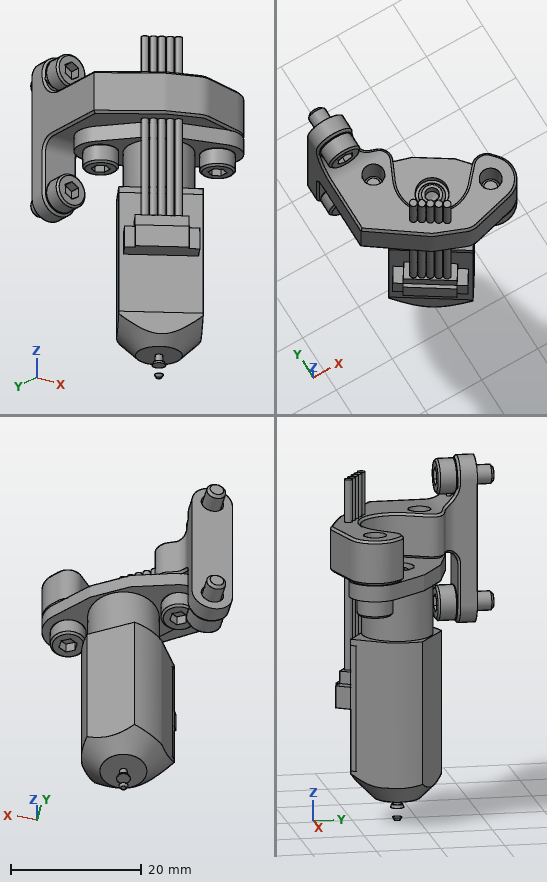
import cadquery as cq
import math

probe_turn = 33.0
tolerance = 0.005

shank_diameter = 3.0
screw_length = 6.0
head_diameter = 5.5
head_height = 3.0
head_chamfer = 0.3
head_base_chamfer = 0.15
tip_chamfer = 0.45
socket_across_corners = 2.9
socket_depth = 1.75
clearance_diameter = 3.5
left_screw_shift = (-0.1, -0.2)

hole_pitch = 18.0
lug_radius = 4.05
flange_thickness = 2.5
flange_half_width = 5.85
flank_angle = 16.0

neck_diameter = 11.0
body_top = -10.45
body_bottom = -36.35
body_half_width = 6.5
body_front = -5.05
body_side_end = 0.75
body_back = 5.8
body_back_half_width = 3.85
body_back_bulge = 0.4
nose_radius = 3.6

recess_diameter = 5.2
recess_depth = 1.1
adjuster_diameter = 4.15
adjuster_height = 0.65
adjuster_chamfer = 0.465
adjuster_bore = 2.25
adjuster_bore_depth = 1.65
drill_point_angle = 118.0

pin_diameter = 1.2
pin_length = 1.15
collar_diameter = 2.1
collar_height = 0.5
collar_top_diameter = 1.7
tip_diameter = 1.4
tip_end_diameter = 0.8
tip_height = 0.5
tip_bottom = -40.05

cover_depth = 0.9
cover_top = -11.45
cover_bottom = -31.3
plug_half_width = 4.15
plug_front = -7.85
plug_top = -16.3
shroud_half_width = 5.8
shroud_top = -18.25
shroud_bottom = -21.75
shroud_key_front = -8.45
wire_count = 5
wire_diameter = 1.2
wire_row_length = 5.2
wire_v = -7.05
wire_top = 13.75

arm_thickness = 7.05
edge_chamfer = 0.4
leg_left = -13.9
leg_width = 6.4
leg_back = 13.95
leg_thickness = 3.0
ear_pitch = 20.0
spot_face_diameter = 6.2
height = 54.5
upper_fillet = 4.0
lower_fillet = 2.0
opening_radius = 5.65
opening_flare = 8.5
left_corner_radius = 2.0
right_corner_radius = 2.3
inner_corner_radius = 2.0
front_corner_radius = 3.0
side_corner = (leg_left, -1.95)
middle_corner = (-4.9, -8.4)
front_corner = (0.9, -10.75)

ear_radius = leg_width / 2
leg_right = leg_left + leg_width
leg_front = leg_back - leg_thickness
ear_x = leg_left + ear_radius
upper_ear_z = tip_bottom + height - ear_radius
lower_ear_z = upper_ear_z - ear_pitch
lug_u = hole_pitch / 2
wire_us = [wire_row_length * (i / (wire_count - 1) - 0.5) for i in range(wire_count)]


def turned(u, v):
    """X, Y of a point given across the probe."""
    angle = math.radians(probe_turn)
    return (u * math.cos(angle) + v * math.sin(angle), v * math.cos(angle) - u * math.sin(angle))


def on_circle(center, radius, degrees):
    angle = math.radians(degrees)
    return (center[0] + radius * math.cos(angle), center[1] + radius * math.sin(angle))


def crossing(p, p_degrees, q, q_degrees):
    """Where the line through p meets the line through q, each at its own angle."""
    px, py = math.cos(math.radians(p_degrees)), math.sin(math.radians(p_degrees))
    qx, qy = math.cos(math.radians(q_degrees)), math.sin(math.radians(q_degrees))
    along = ((q[0] - p[0]) * qy - (q[1] - p[1]) * qx) / (px * qy - py * qx)
    return (p[0] + along * px, p[1] + along * py)


def turn_into_place(body):
    """Turn a body built along u and v into its place about the probe axis."""
    return body.rotate((0, 0, 0), (0, 0, 1), -probe_turn)


def cylinder(diameter, bottom, top, x=0.0, y=0.0):
    return cq.Workplane("XY", origin=(x, y, bottom)).circle(diameter / 2).extrude(top - bottom)


def block(u_half, v_front, v_back, bottom, top):
    size = (2 * u_half, v_back - v_front, top - bottom)
    return cq.Workplane("XY", origin=(0, v_front, bottom)).box(*size, centered=(True, False, False))


lugs = [turned(side * lug_u, 0) for side in (-1, 1)]


def arm_outline():
    """Arm outline with the C-shaped opening, and the radius that rounds each of its corners."""
    right_lug = lugs[1]
    right_flank = 90 - flank_angle - probe_turn
    left_flank = 90 + flank_angle - probe_turn
    reach = math.dist(front_corner, right_lug)
    bearing = math.degrees(math.atan2(right_lug[1] - front_corner[1], right_lug[0] - front_corner[0]))
    front_edge = bearing - math.degrees(math.asin(lug_radius / reach))
    lug_start = on_circle(right_lug, lug_radius, front_edge - 90)
    lug_end = on_circle(right_lug, lug_radius, right_flank)
    lug_mid = on_circle(right_lug, lug_radius, (front_edge - 90 + right_flank) / 2)
    opening_right = on_circle((0, 0), opening_radius, -opening_flare - probe_turn)
    opening_left = on_circle((0, 0), opening_radius, 180 + opening_flare - probe_turn)
    opening_mid = on_circle((0, 0), opening_radius, -90 - probe_turn)
    right_corner = crossing(
        opening_right, 90 - opening_flare - probe_turn, lug_end, right_flank + 90)
    on_left_flank = on_circle(lugs[0], lug_radius, left_flank)
    left_corner = crossing(
        opening_left, 90 + opening_flare - probe_turn, on_left_flank, left_flank - 90)
    inner_corner = crossing((leg_right, 0), 90, on_left_flank, left_flank - 90)
    outline = (
        cq.Workplane("XY", origin=(0, 0, -lower_fillet))
        .moveTo(leg_left, leg_back)
        .lineTo(*side_corner)
        .lineTo(*middle_corner)
        .lineTo(*front_corner)
        .lineTo(*lug_start)
        .threePointArc(lug_mid, lug_end)
        .lineTo(*right_corner)
        .lineTo(*opening_right)
        .threePointArc(opening_mid, opening_left)
        .lineTo(*left_corner)
        .lineTo(*inner_corner)
        .lineTo(leg_right, leg_back)
        .close()
    )
    rounded = [
        (middle_corner, front_corner_radius),
        (front_corner, front_corner_radius),
        (right_corner, right_corner_radius),
        (left_corner, left_corner_radius),
        (inner_corner, inner_corner_radius),
    ]
    return outline, rounded


def rounded_prism():
    outline, rounded = arm_outline()
    prism = outline.extrude(lower_fillet + arm_thickness + upper_fillet)
    for corner, radius in rounded:
        nearest = cq.selectors.NearestToPointSelector((*corner, arm_thickness / 2))
        prism = prism.edges(nearest).fillet(radius)
    return prism


def arm_profile():
    """Side profile of the arm with its fillets into the leg."""
    inset = 1 - math.sqrt(0.5)
    front = front_corner[1]
    top = arm_thickness + upper_fillet
    upper_mid = (leg_front - upper_fillet * inset, arm_thickness + upper_fillet * inset)
    lower_mid = (leg_front - lower_fillet * inset, -lower_fillet * inset)
    return (
        cq.Workplane("YZ", origin=(leg_left, 0, 0))
        .moveTo(front, 0)
        .lineTo(front, arm_thickness)
        .lineTo(leg_front - upper_fillet, arm_thickness)
        .threePointArc(upper_mid, (leg_front, top))
        .lineTo(leg_back, top)
        .lineTo(leg_back, -lower_fillet)
        .lineTo(leg_front, -lower_fillet)
        .threePointArc(lower_mid, (leg_front - lower_fillet, 0))
        .close()
        .extrude(height)
    )


def is_rim(edge):
    """Edges where the walls meet the arm faces, the leg front or the fillets between them."""
    box = edge.BoundingBox()
    across = box.ylen < tolerance and box.zlen < tolerance
    upright = box.xlen < tolerance and box.ylen < tolerance
    on_back = box.ymax > leg_back - tolerance
    in_front_face = box.ymin > leg_front - tolerance
    return not on_back and not across and (not upright or in_front_face)


def make_bracket():
    leg = (
        cq.Workplane("XZ", origin=(ear_x, leg_back, upper_ear_z - ear_pitch / 2))
        .slot2D(ear_pitch + leg_width, leg_width, 90)
        .extrude(leg_thickness)
    )
    bracket = rounded_prism().intersect(arm_profile()).union(leg).clean()
    rim = [edge for edge in bracket.edges().vals() if is_rim(edge)]
    bracket = bracket.newObject(rim).chamfer(edge_chamfer)
    for x, y in lugs:
        bracket = bracket.cut(cylinder(clearance_diameter, 0, arm_thickness, x, y))
    for u in wire_us:
        bracket = bracket.cut(cylinder(wire_diameter, 0, arm_thickness, *turned(u, wire_v)))
    ear_holes = (
        cq.Workplane("XZ", origin=(ear_x, leg_back, 0))
        .pushPoints([(0, upper_ear_z), (0, lower_ear_z)])
        .circle(clearance_diameter / 2)
        .extrude(leg_thickness)
    )
    spot_face = (
        cq.Workplane("XZ", origin=(ear_x, leg_front, upper_ear_z))
        .circle(spot_face_diameter / 2)
        .extrude(upper_fillet)
    )
    return bracket.cut(ear_holes).cut(spot_face)


def make_flange():
    flank = math.radians(flank_angle)
    tangent_u = lug_u + lug_radius * math.sin(flank)
    tangent_v = lug_radius * math.cos(flank)
    shoulder_u = tangent_u - (flange_half_width - tangent_v) / math.tan(flank)
    flange = (
        cq.Workplane("XY", origin=(0, 0, -flange_thickness))
        .moveTo(-shoulder_u, flange_half_width)
        .lineTo(shoulder_u, flange_half_width)
        .lineTo(tangent_u, tangent_v)
        .threePointArc((lug_u + lug_radius, 0), (tangent_u, -tangent_v))
        .lineTo(shoulder_u, -flange_half_width)
        .lineTo(-shoulder_u, -flange_half_width)
        .lineTo(-tangent_u, -tangent_v)
        .threePointArc((-lug_u - lug_radius, 0), (-tangent_u, tangent_v))
        .close()
        .extrude(flange_thickness)
    )
    for side in (-1, 1):
        flange = flange.cut(cylinder(clearance_diameter, -flange_thickness, 0, side * lug_u))
    return flange


def make_body():
    """Flat-fronted body with bulged rear sides, trimmed by the 45 degree nose cone."""
    outline = (
        cq.Workplane("XY", origin=(0, 0, body_bottom))
        .moveTo(-body_half_width, body_front)
        .lineTo(body_half_width, body_front)
        .lineTo(body_half_width, body_side_end)
        .sagittaArc((body_back_half_width, body_back), -body_back_bulge)
        .lineTo(-body_back_half_width, body_back)
        .sagittaArc((-body_half_width, body_side_end), -body_back_bulge)
        .close()
    )
    length = body_top - body_bottom
    cone = cq.Solid.makeCone(
        nose_radius, nose_radius + length, length, pnt=cq.Vector(0, 0, body_bottom))
    return outline.extrude(length).intersect(cq.Workplane(cone))


def make_adjuster():
    """Solid end of the adjusting screw, standing in the recess, and its drilled bore."""
    floor = -recess_depth
    end = cylinder(adjuster_diameter, floor, floor + adjuster_height).faces(">Z").chamfer(adjuster_chamfer)
    bore_bottom = floor + adjuster_height - adjuster_bore_depth
    point_height = adjuster_bore / 2 / math.tan(math.radians(drill_point_angle / 2))
    point = cq.Solid.makeCone(
        0, adjuster_bore / 2, point_height, pnt=cq.Vector(0, 0, bore_bottom - point_height))
    bore = cylinder(adjuster_bore, bore_bottom, 0).union(cq.Workplane(point))
    return end, bore


def make_pin():
    collar_bottom = body_bottom - pin_length - collar_height
    collar = cq.Solid.makeCone(
        collar_diameter / 2, collar_top_diameter / 2, collar_height,
        pnt=cq.Vector(0, 0, collar_bottom))
    return cylinder(pin_diameter, collar_bottom, body_bottom).union(cq.Workplane(collar))


def cover_plate():
    return block(body_half_width, body_front, body_front + cover_depth, cover_bottom, cover_top)


def make_probe():
    adjuster, bore = make_adjuster()
    probe = make_flange().union(cylinder(neck_diameter, body_top, -flange_thickness))
    probe = probe.union(make_body()).union(make_pin())
    probe = probe.cut(cylinder(recess_diameter, -recess_depth, 0)).union(adjuster).cut(bore)
    probe = probe.cut(cover_plate())
    return turn_into_place(probe)


def make_tip():
    tip = cq.Solid.makeCone(
        tip_end_diameter / 2, tip_diameter / 2, tip_height, pnt=cq.Vector(0, 0, tip_bottom))
    return cq.Workplane(tip)


def make_wired_cover():
    cover = cover_plate()
    cover = cover.union(block(plug_half_width, plug_front, body_front, shroud_bottom, plug_top))
    cover = cover.union(block(shroud_half_width, plug_front, body_front, shroud_bottom, shroud_top))
    cover = cover.union(block(plug_half_width, shroud_key_front, plug_front, shroud_bottom, shroud_top))
    for u in wire_us:
        cover = cover.union(cylinder(wire_diameter, plug_top, wire_top, u, wire_v))
    return turn_into_place(cover)


def make_screw():
    """Socket head screw pointing up, with the underside of its head at Z = 0."""
    head = cylinder(head_diameter, -head_height, 0)
    head = head.faces("<Z").chamfer(head_chamfer).faces(">Z").chamfer(head_base_chamfer)
    shank = cylinder(shank_diameter, 0, screw_length).faces(">Z").chamfer(tip_chamfer)
    socket = (
        cq.Workplane("XY", origin=(0, 0, -head_height))
        .polygon(6, socket_across_corners)
        .extrude(socket_depth)
        .rotate((0, 0, 0), (0, 0, 1), 90)
    )
    return head.union(shank).cut(socket)


def make_screws():
    (left_x, left_y), (right_x, right_y) = lugs
    upright_places = [(left_x + left_screw_shift[0], left_y + left_screw_shift[1]), (right_x, right_y)]
    screws = [make_screw().translate((x, y, -flange_thickness)) for x, y in upright_places]
    level = make_screw().rotate((0, 0, 0), (1, 0, 0), -90)
    for z in (upper_ear_z, lower_ear_z):
        screws.append(level.translate((ear_x, leg_front, z)))
    return screws


bracket = make_bracket()
probe = make_probe()
tip = make_tip()
wired_cover = make_wired_cover()
screws = make_screws()

result = cq.Compound.makeCompound(
    [bracket.val(), probe.val(), tip.val(), wired_cover.val(), *[screw.val() for screw in screws]]
)